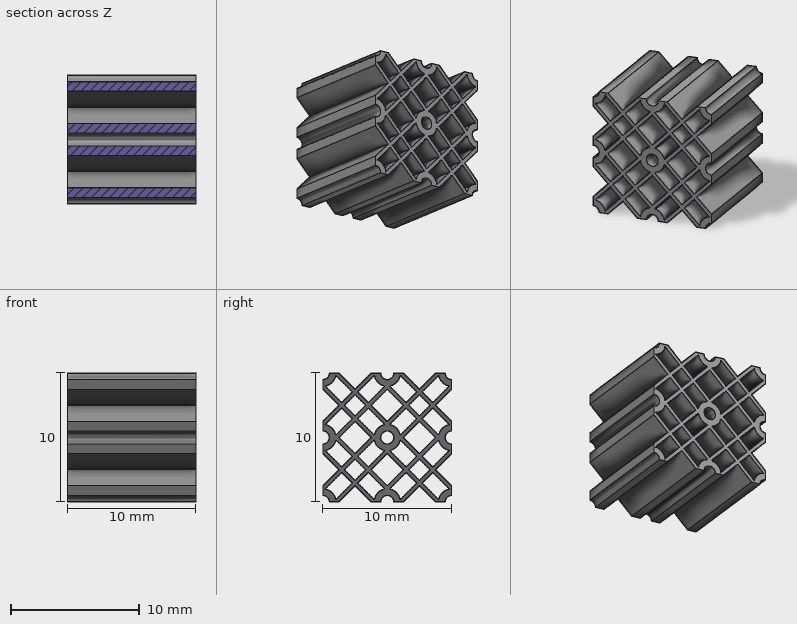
import cadquery as cq
import math

SIDE = 10.0
BORE_DIAMETER = 1.0
TUBE_DIAMETER = 2.05
WALL_THICKNESS = 0.31
WALL_SPACING = 1.47

TUBE_PITCH = SIDE / 2
TUBE_STEPS = (-1, 0, 1)
TUBE_CENTERS = [(i * TUBE_PITCH, j * TUBE_PITCH) for i in TUBE_STEPS for j in TUBE_STEPS]

WALL_LENGTH = TUBE_PITCH * math.sqrt(2)
WALL_TILTS = (-45, 45)
QUARTER_STEPS = (-0.5, 0.5)
QUARTER_CENTERS = [(i * TUBE_PITCH, j * TUBE_PITCH) for i in QUARTER_STEPS for j in QUARTER_STEPS]


def section_plane():
    """Workplane of the cross-section (local axes Y and Z) on the -X face of the cube."""
    return cq.Workplane("YZ", origin=(-SIDE / 2, 0, 0))


def cylinders(diameter):
    """One cylinder along X at every tube position."""
    return section_plane().pushPoints(TUBE_CENTERS).circle(diameter / 2).extrude(SIDE)


def wall_pair(quarter_center, tilt):
    """Two parallel round-ended walls on both sides of one diagonal of a quarter."""
    return (
        section_plane()
        .center(*quarter_center)
        .transformed(rotate=(0, 0, tilt))
        .pushPoints([(0, -WALL_SPACING / 2), (0, WALL_SPACING / 2)])
        .slot2D(WALL_LENGTH + WALL_THICKNESS, WALL_THICKNESS)
        .extrude(SIDE)
    )


def lattice():
    """All tubes and walls, with the outer ones still reaching past the sides of the cube."""
    body = cylinders(TUBE_DIAMETER)
    for quarter_center in QUARTER_CENTERS:
        for tilt in WALL_TILTS:
            body = body.union(wall_pair(quarter_center, tilt))
    return body.cut(cylinders(BORE_DIAMETER))


envelope = cq.Workplane("XY").box(SIDE, SIDE, SIDE)
result = lattice().intersect(envelope).clean()